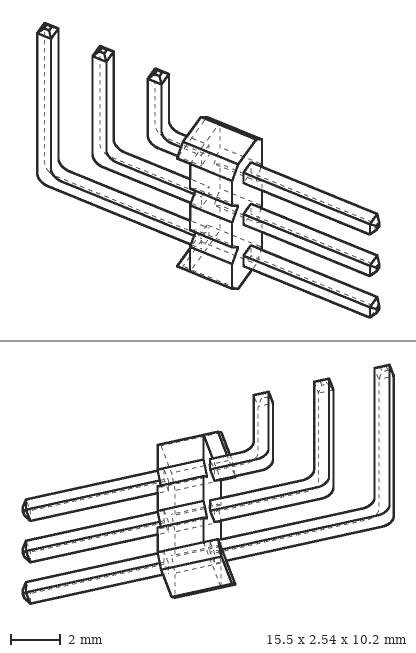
import cadquery as cq

pin_count = 3
pitch = 2.54
total_length = 15.46
total_height = 10.23

housing_depth = 2.54
housing_width = pitch
housing_front = 9.46
housing_chamfer = 0.51
recess_depth = 0.6
housing_height = pin_count * pitch
housing_back = housing_front - housing_depth

pin_size = 0.63
bend_radius = 0.5
tip_length = 0.2
short_pin_drop = 0.03


def housing_segment(index):
    """One octagonal block of the housing; neighbours meet in V notches."""
    return (
        cq.Workplane("XY")
        .box(housing_depth, housing_width, pitch, centered=(False, True, False))
        .edges("|X")
        .chamfer(housing_chamfer)
        .translate((housing_back, 0, index * pitch))
    )


def housing():
    body = housing_segment(0)
    for index in range(1, pin_count):
        body = body.union(housing_segment(index))
    recess = (
        cq.Workplane("XY")
        .box(
            recess_depth,
            housing_width,
            housing_height - 2 * housing_chamfer,
            centered=(False, True, False),
        )
        .translate((housing_back, 0, housing_chamfer))
    )
    return body.cut(recess)


def bent_pin(index):
    """L-shaped square pin with a rounded bend and tapered tips."""
    left = index * pitch
    bottom = (index + 0.5) * pitch - pin_size / 2
    top = total_height if index == 0 else total_height - short_pin_drop
    inner_x = left + pin_size
    inner_z = bottom + pin_size
    pin = (
        cq.Workplane("XZ")
        .moveTo(left, bottom)
        .lineTo(total_length, bottom)
        .lineTo(total_length, inner_z)
        .lineTo(inner_x, inner_z)
        .lineTo(inner_x, top)
        .lineTo(left, top)
        .close()
        .extrude(pin_size / 2, both=True)
    )
    outer_corner = cq.selectors.NearestToPointSelector((left, 0, bottom))
    inner_corner = cq.selectors.NearestToPointSelector((inner_x, 0, inner_z))
    pin = pin.edges("|Y").edges(outer_corner).fillet(bend_radius)
    pin = pin.edges("|Y").edges(inner_corner).fillet(bend_radius)
    pin = pin.faces(">X").chamfer(tip_length)
    return pin.faces(">Z").chamfer(tip_length)


result = housing()
for pin_index in range(pin_count):
    result = result.union(bent_pin(pin_index))